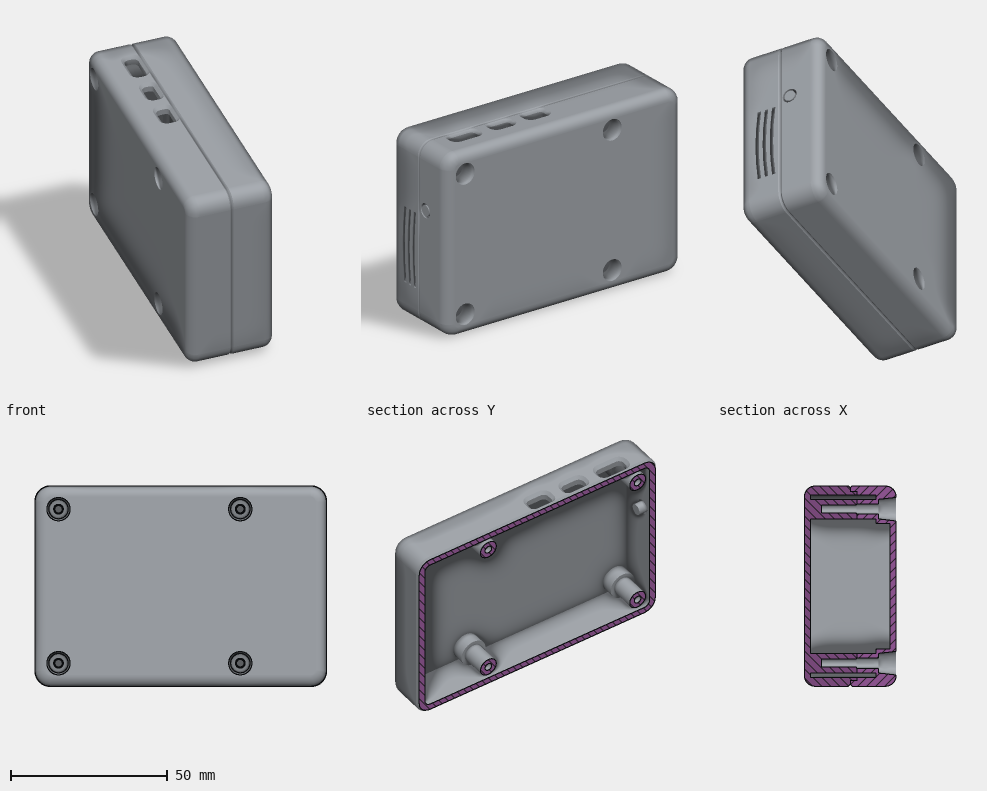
import cadquery as cq

LENGTH = 93.0
DEPTH = 29.4
HEIGHT = 64.0
CORNER_RADIUS = 5.0
EDGE_FILLET = 3.5
HALF_DEPTH = DEPTH / 2
SEAM_BEVEL = 0.6

OUTER_WALL = 1.95
TONGUE_THICKNESS = 1.0
WALL = OUTER_WALL + TONGUE_THICKNESS
PANEL = 2.0
TONGUE_REACH = 2.1

SCREW_X = (-39.0, 19.0)
SCREW_Z = 24.55
POST_RADIUS = 3.2
CLEARANCE_DIAMETER = 3.1
PILOT_DIAMETER = 2.4
PILOT_DEPTH = 11.2
WELL_MOUTH_RADIUS = 3.7
WELL_FLOOR_RADIUS = 3.1
WELL_DEPTH = 5.6
WELL_WALL = 0.9

PORTS = (
    (-31.3, -3.5, 10.2, 4.7, 1.8, 1.8),
    (-16.7, -3.7, 8.0, 4.1, 1.1, 1.8),
    (-3.35, -3.7, 8.0, 4.65, 1.1, 1.8),
)
PORT_BEVEL = 1.0

BUTTON_Y = -3.5
BUTTON_Z = 9.6
BUTTON_DIAMETER = 3.8
BUTTON_HOLE_DIAMETER = 5.0
BUTTON_LENGTH = 5.6

SLOT_COUNT = 3
FIRST_SLOT_Y = 2.2
SLOT_PITCH = 2.6
SLOT_CENTRE_Z = -6.2
SLOT_HEIGHT = 26.4
SLOT_WIDTH = 1.2
SLOT_BOW = 0.8


def block(y_start, y_end, inset=0.0):
    """Rounded rectangle, inset from the case outline, filling the given stretch of Y."""
    return (
        cq.Workplane("XZ", origin=(0, y_start, 0))
        .rect(LENGTH - 2 * inset, HEIGHT - 2 * inset)
        .extrude(y_start - y_end)
        .edges("|Y")
        .fillet(CORNER_RADIUS - inset)
    )


def screw_rods(y_start, y_end, radius, end_radius=None):
    """One rod along Y at each screw position, tapering if an end radius is given."""
    rods = cq.Workplane("XY")
    for x in SCREW_X:
        for z in (-SCREW_Z, SCREW_Z):
            start = cq.Workplane("XZ", origin=(x, y_start, z)).circle(radius)
            if end_radius is None:
                rods = rods.add(start.extrude(y_start - y_end))
            else:
                rods = rods.add(start.workplane(offset=y_start - y_end).circle(end_radius).loft())
    return rods.combine()


def port_cutter(x, y, width, height, upper_radius, lower_radius):
    """Rounded opening through the +Z wall with a 45 degree bevel at its mouth."""
    bevel_floor = HEIGHT / 2 - PORT_BEVEL
    outline = (
        cq.Sketch()
        .rect(width, height)
        .vertices(">Y")
        .fillet(upper_radius)
        .reset()
        .vertices("<Y")
        .fillet(lower_radius)
    )
    plane = cq.Workplane("XY", origin=(x, y, bevel_floor)).placeSketch(outline)
    opening = plane.extrude(-WALL)
    mouth = plane.extrude(PORT_BEVEL, taper=-45)
    return opening.union(mouth)


def button_cylinder(diameter, length):
    """Cylinder on the button axis, running inward from the -X face."""
    return cq.Workplane("YZ", origin=(-LENGTH / 2, BUTTON_Y, BUTTON_Z)).circle(diameter / 2).extrude(length)


def louvre_cutter(y):
    """Bowed slot that slants 45 degrees towards +Y as it passes through the -X wall."""
    bottom = SLOT_CENTRE_Z - SLOT_HEIGHT / 2
    top = SLOT_CENTRE_Z + SLOT_HEIGHT / 2
    near = y - SLOT_WIDTH / 2
    far = y + SLOT_WIDTH / 2
    outline = (
        cq.Workplane("YZ", origin=(-LENGTH / 2, 0, 0))
        .moveTo(near, bottom)
        .threePointArc((near + SLOT_BOW, SLOT_CENTRE_Z), (near, top))
        .lineTo(far, top)
        .threePointArc((far + SLOT_BOW, SLOT_CENTRE_Z), (far, bottom))
        .close()
    )
    return cq.Workplane(cq.Solid.extrudeLinear(outline.val(), [], cq.Vector(WALL, WALL, 0)))


def wall_openings():
    """Ports and button hole, shared by both shells because they cross the tongue."""
    openings = button_cylinder(BUTTON_HOLE_DIAMETER, WALL)
    for port in PORTS:
        openings = openings.union(port_cutter(*port))
    return openings


def make_front_shell():
    well_floor = -HALF_DEPTH + WELL_DEPTH
    shell = block(-HALF_DEPTH, 0)
    shell = shell.faces("<Y").edges().fillet(EDGE_FILLET)
    shell = shell.faces(">Y").edges().chamfer(SEAM_BEVEL)
    shell = shell.cut(block(-HALF_DEPTH + PANEL, 0, WALL))
    shell = shell.cut(block(-TONGUE_REACH, 0, OUTER_WALL))

    well_housing = screw_rods(-HALF_DEPTH + PANEL, well_floor + WELL_WALL, WELL_MOUTH_RADIUS + WELL_WALL)
    shell = shell.union(well_housing)
    shell = shell.union(screw_rods(well_floor, -TONGUE_REACH, POST_RADIUS))
    shell = shell.cut(screw_rods(-HALF_DEPTH, well_floor, WELL_MOUTH_RADIUS, WELL_FLOOR_RADIUS))
    shell = shell.cut(screw_rods(well_floor, -TONGUE_REACH, CLEARANCE_DIAMETER / 2))
    return shell.cut(wall_openings())


def make_back_shell():
    shell = block(0, HALF_DEPTH)
    shell = shell.faces(">Y").edges().fillet(EDGE_FILLET)
    shell = shell.faces("<Y").edges().chamfer(SEAM_BEVEL)
    shell = shell.union(block(-TONGUE_REACH, 0, OUTER_WALL))
    shell = shell.cut(block(-TONGUE_REACH, HALF_DEPTH - PANEL, WALL))

    shell = shell.union(screw_rods(-TONGUE_REACH, HALF_DEPTH - PANEL, POST_RADIUS))
    shell = shell.cut(screw_rods(-TONGUE_REACH, -TONGUE_REACH + PILOT_DEPTH, PILOT_DIAMETER / 2))
    for index in range(SLOT_COUNT):
        shell = shell.cut(louvre_cutter(FIRST_SLOT_Y + index * SLOT_PITCH))
    return shell.cut(wall_openings())


def make_button():
    return button_cylinder(BUTTON_DIAMETER, BUTTON_LENGTH)


front_shell = make_front_shell()
back_shell = make_back_shell()
button = make_button()

result = cq.Compound.makeCompound([body.solids().val() for body in (front_shell, back_shell, button)])